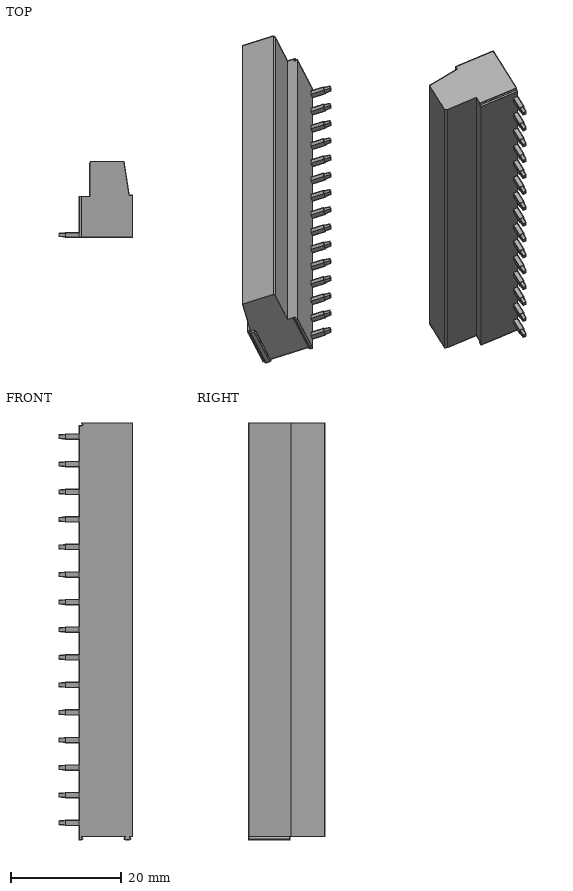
import cadquery as cq

body_length = 75.0
base_width = 9.7
total_depth = 13.8
left_shoulder_y = 7.45
right_shoulder_y = 7.65
head_left_x = 1.9
head_chamfer_x = 0.2
head_chamfer_y = 0.45
head_right_x = 8.15
slope_foot_x = 9.1

dovetail_height = 0.6
dovetail_bulge_depth = 0.4
edge_tongue_neck = 0.4
edge_tongue_bulge = 0.7
rear_tongue_center_x = 8.75
rear_tongue_neck = 0.7
rear_tongue_bulge = 1.25
notch_depth = 0.5
notch_bulge_depth = 0.38
notch_mouth = 0.4
notch_bulge = 0.7
notch_floor = 0.4

pin_count = 15
pin_pitch = 5.0
pin_reach = 3.65
pin_tip_length = 1.15
pin_width_y = 0.85
pin_width_z = 1.0
pin_tip_base_y = 0.7
pin_tip_base_z = 0.85
pin_tip_end_y = 0.6
pin_tip_end_z = 0.7
pin_center_y = 0.45


def make_housing():
    outline = [
        (0, 0),
        (base_width, 0),
        (base_width, right_shoulder_y),
        (slope_foot_x, right_shoulder_y),
        (head_right_x, total_depth),
        (head_left_x + head_chamfer_x, total_depth),
        (head_left_x, total_depth - head_chamfer_y),
        (head_left_x, left_shoulder_y),
        (0, left_shoulder_y),
    ]
    return cq.Workplane("XY").polyline(outline).close().extrude(body_length)


def extrude_along_y(xz_points):
    """Extrude an X-Z outline from the front face back to the left shoulder."""
    return cq.Workplane("XZ").polyline(xz_points).close().extrude(-left_shoulder_y)


def make_edge_tongue():
    return extrude_along_y([
        (0, 0),
        (edge_tongue_neck, 0),
        (edge_tongue_bulge, -dovetail_bulge_depth),
        (edge_tongue_neck, -dovetail_height),
        (0, -dovetail_height),
    ])


def make_rear_tongue():
    neck_left = rear_tongue_center_x - rear_tongue_neck / 2
    neck_right = neck_left + rear_tongue_neck
    bulge_left = rear_tongue_center_x - rear_tongue_bulge / 2
    bulge_right = bulge_left + rear_tongue_bulge
    return extrude_along_y([
        (neck_left, 0),
        (neck_right, 0),
        (bulge_right, -dovetail_bulge_depth),
        (neck_right, -dovetail_height),
        (neck_left, -dovetail_height),
        (bulge_left, -dovetail_bulge_depth),
    ])


def make_edge_notch():
    return extrude_along_y([
        (0, body_length),
        (notch_mouth, body_length),
        (notch_bulge, body_length - notch_bulge_depth),
        (notch_floor, body_length - notch_depth),
        (0, body_length - notch_depth),
    ])


def make_pin(center_z):
    """Rectangular shank with a slimmer, tapered tip, pointing along -X."""
    shank_length = pin_reach - pin_tip_length
    shank_end = cq.Workplane("YZ", origin=(-shank_length, pin_center_y, center_z))
    shank = shank_end.rect(pin_width_y, pin_width_z).extrude(shank_length)
    tip = (
        shank_end.rect(pin_tip_base_y, pin_tip_base_z)
        .workplane(offset=-pin_tip_length)
        .rect(pin_tip_end_y, pin_tip_end_z)
        .loft()
    )
    return shank.union(tip)


result = make_housing().cut(make_edge_notch())
result = result.union(make_edge_tongue()).union(make_rear_tongue())

first_pin_z = (body_length - (pin_count - 1) * pin_pitch) / 2
for index in range(pin_count):
    result = result.union(make_pin(first_pin_z + index * pin_pitch))